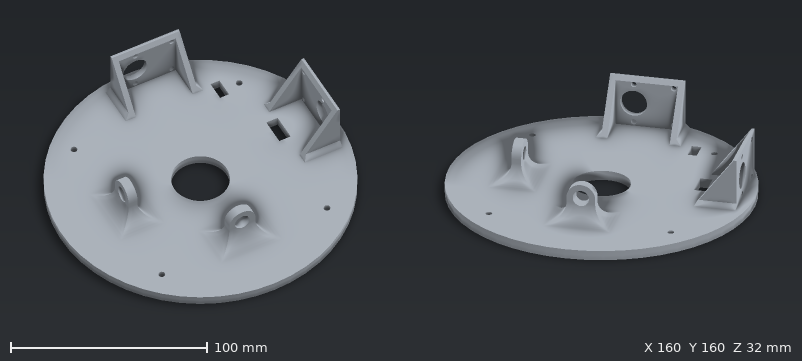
import cadquery as cq

disc_diameter = 160
disc_thickness = 5.1
center_hole_diameter = 30.0
mount_hole_offset = 47.7
mount_hole_diameter = 3.5

windows = [
    (-17.6, -3.5, 47.4, 54.0),
    (-53.8, -43.4, 34.4, 39.5),
]

total_height = 32
bracket_height = total_height - disc_thickness
bracket_back = 73.8
bracket_depth = 21.8
bracket_left = -26.4
bracket_right = 12.8
bracket_wall = 3.2
bracket_top_flat = 1.5
foot_size = 2.7
axis_height = 12.6
shaft_hole_diameter = 14.0
screw_spacing = 21.0
screw_hole_diameter = 2.9

lug_center_offset = 42.9
lug_width = 15.0
lug_thickness = 5.1
lug_fillet = 10.0
pivot_outer_diameter = 8.5
pivot_inner_diameter = 7.2


def cylinder_along_y(x, y, z, diameter, length):
    """Cylinder that starts at (x, y, z) and runs toward +Y."""
    return cq.Workplane(cq.Solid.makeCylinder(
        diameter / 2, length, cq.Vector(x, y, z), cq.Vector(0, 1, 0)))


def make_disc():
    disc = cq.Workplane("XY").circle(disc_diameter / 2).extrude(-disc_thickness)
    disc = disc.cut(cq.Workplane("XY").circle(center_hole_diameter / 2).extrude(-disc_thickness))
    mount_holes = (
        cq.Workplane("XY")
        .rect(2 * mount_hole_offset, 2 * mount_hole_offset, forConstruction=True)
        .vertices()
        .circle(mount_hole_diameter / 2)
        .extrude(-disc_thickness)
    )
    disc = disc.cut(mount_holes)
    for x_min, x_max, y_min, y_max in windows:
        window = cq.Workplane("XY").box(
            x_max - x_min, y_max - y_min, disc_thickness, centered=False)
        disc = disc.cut(window.translate((x_min, y_min, -disc_thickness)))
    return disc


def make_bracket():
    front = bracket_back - bracket_depth
    outline = (
        cq.Workplane("XZ", origin=(0, bracket_back, 0))
        .moveTo(bracket_left - foot_size, 0)
        .lineTo(bracket_left, foot_size)
        .lineTo(bracket_left, bracket_height)
        .lineTo(bracket_right, bracket_height)
        .lineTo(bracket_right, foot_size)
        .lineTo(bracket_right + foot_size, 0)
        .close()
        .extrude(bracket_depth)
    )
    slope = (
        cq.Workplane("YZ", origin=(bracket_left - foot_size, 0, 0))
        .moveTo(bracket_back, 0)
        .lineTo(bracket_back, bracket_height)
        .lineTo(bracket_back - bracket_top_flat, bracket_height)
        .lineTo(front, 0)
        .close()
        .extrude(bracket_right - bracket_left + 2 * foot_size)
    )
    inside = cq.Workplane("XY").box(
        bracket_right - bracket_left - 2 * bracket_wall,
        bracket_depth - bracket_wall,
        bracket_height,
        centered=False,
    ).translate((bracket_left + bracket_wall, front, 0))
    bracket = outline.intersect(slope).cut(inside)

    wall_front = bracket_back - bracket_wall
    bracket = bracket.cut(
        cylinder_along_y(0, wall_front, axis_height, shaft_hole_diameter, bracket_wall))
    for x in (-screw_spacing, 0):
        for z in (axis_height - screw_spacing / 2, axis_height + screw_spacing / 2):
            bracket = bracket.cut(
                cylinder_along_y(x, front, z, screw_hole_diameter, bracket_depth))
    return bracket


def flared_base(plane, top_width, length):
    """Prism whose two sides sweep out to the disc in concave quarter circles."""
    half = top_width / 2
    mid = lug_fillet * (1 - 0.5 ** 0.5)
    return (
        cq.Workplane(plane)
        .moveTo(-half - lug_fillet, 0)
        .threePointArc((-half - mid, mid), (-half, lug_fillet))
        .lineTo(half, lug_fillet)
        .threePointArc((half + mid, mid), (half + lug_fillet, 0))
        .close()
        .extrude(length / 2, both=True)
    )


def make_lug():
    base_width = lug_width + 2 * lug_fillet
    base_thickness = lug_thickness + 2 * lug_fillet
    base = flared_base("XZ", lug_width, base_thickness).intersect(
        flared_base("YZ", lug_thickness, base_width))
    tongue = cq.Workplane("XY").box(
        lug_width, lug_thickness, axis_height, centered=(True, True, False))
    face = -lug_thickness / 2
    eye = cylinder_along_y(0, face, axis_height, lug_width, lug_thickness)
    taper = cq.Workplane(cq.Solid.makeCone(
        pivot_outer_diameter / 2, pivot_inner_diameter / 2, lug_thickness,
        cq.Vector(0, face, axis_height), cq.Vector(0, 1, 0)))
    outer_clearance = cylinder_along_y(
        0, -base_thickness / 2, axis_height, pivot_outer_diameter, lug_fillet)
    inner_clearance = cylinder_along_y(
        0, -face, axis_height, pivot_inner_diameter, lug_fillet)
    lug = base.union(tongue).union(eye)
    lug = lug.cut(taper).cut(outer_clearance).cut(inner_clearance)
    return lug.translate((0, -lug_center_offset, 0))


back_bracket = make_bracket()
left_bracket = back_bracket.mirror("YZ").rotate((0, 0, 0), (0, 0, 1), 90)
front_lug = make_lug()
right_lug = front_lug.rotate((0, 0, 0), (0, 0, 1), 90)

result = make_disc()
for feature in (back_bracket, left_bracket, front_lug, right_lug):
    result = result.union(feature)